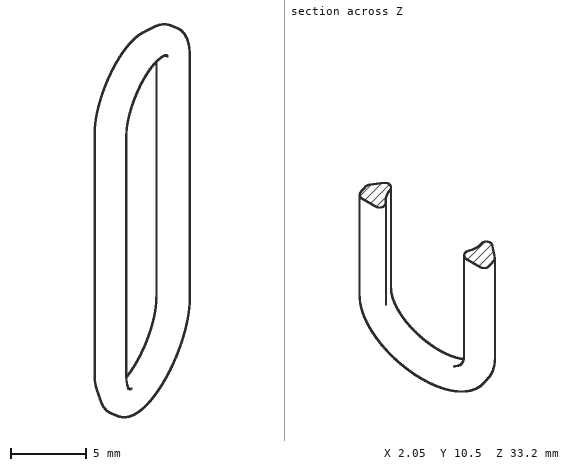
import cadquery as cq
import math

length = 33.2
width = 10.5
thickness = 2.05
band = 1.95
edge_radius = 0.415
bevel_offset = 0.93

end_radius = width / 2
straight = length - width
diagonal = math.sqrt(0.5)


def rounded_point(center, angle):
    """Point on a corner rounding; the angle is measured from +X toward increasing inset."""
    radians = math.radians(angle)
    return (
        center[0] + edge_radius * math.cos(radians),
        center[1] + edge_radius * math.sin(radians),
    )


back_outer = (thickness - edge_radius, edge_radius)
back_inner = (thickness - edge_radius, band - edge_radius)
bevel_center_sum = bevel_offset + edge_radius / diagonal
front = (edge_radius, bevel_center_sum - edge_radius)
shoulder_center = (bevel_center_sum - edge_radius, edge_radius)

hollow_start = rounded_point(front, 90)
run = back_inner[0] - front[0]
rise = back_inner[1] - hollow_start[1]
hollow_radius = (run**2 + rise**2 - edge_radius**2) / (2 * (edge_radius + rise))
hollow_angle = math.degrees(math.asin(run / (hollow_radius + edge_radius)))
half_angle = math.radians(hollow_angle / 2)
hollow_middle = (
    hollow_start[0] + hollow_radius * math.sin(half_angle),
    hollow_start[1] + hollow_radius * (1 - math.cos(half_angle)),
)


def section(workplane, rim):
    """Draw the closed section inward from an outer rim on the +Y side."""

    def place(point):
        return (point[0] - thickness / 2, rim - point[1])

    def corner(sketch, center, middle_angle, end_angle):
        return sketch.threePointArc(
            place(rounded_point(center, middle_angle)), place(rounded_point(center, end_angle))
        )

    outline = workplane.moveTo(*place(rounded_point(shoulder_center, 270)))
    outline = outline.lineTo(*place(rounded_point(back_outer, 270)))
    outline = corner(outline, back_outer, 315, 360)
    outline = outline.lineTo(*place(rounded_point(back_inner, 0)))
    outline = corner(outline, back_inner, 45 + hollow_angle / 2, 90 + hollow_angle)
    outline = outline.threePointArc(place(hollow_middle), place(hollow_start))
    outline = corner(outline, front, 157.5, 225)
    outline = outline.lineTo(*place(rounded_point(shoulder_center, 225)))
    outline = corner(outline, shoulder_center, 247.5, 270)
    return outline.close()


def leg():
    """Straight leg on the +Y side."""
    return section(cq.Workplane("XY"), end_radius).extrude(straight / 2, both=True)


def upper_end():
    """Half-turn above the straight legs."""
    half_turn = section(cq.Workplane("XY"), end_radius).revolve(180, (0, 0), (1, 0))
    return half_turn.translate((0, 0, straight / 2))


side_leg = leg()
top_end = upper_end()
result = (
    side_leg.union(side_leg.mirror("XZ"))
    .union(top_end)
    .union(top_end.mirror("XY"))
)